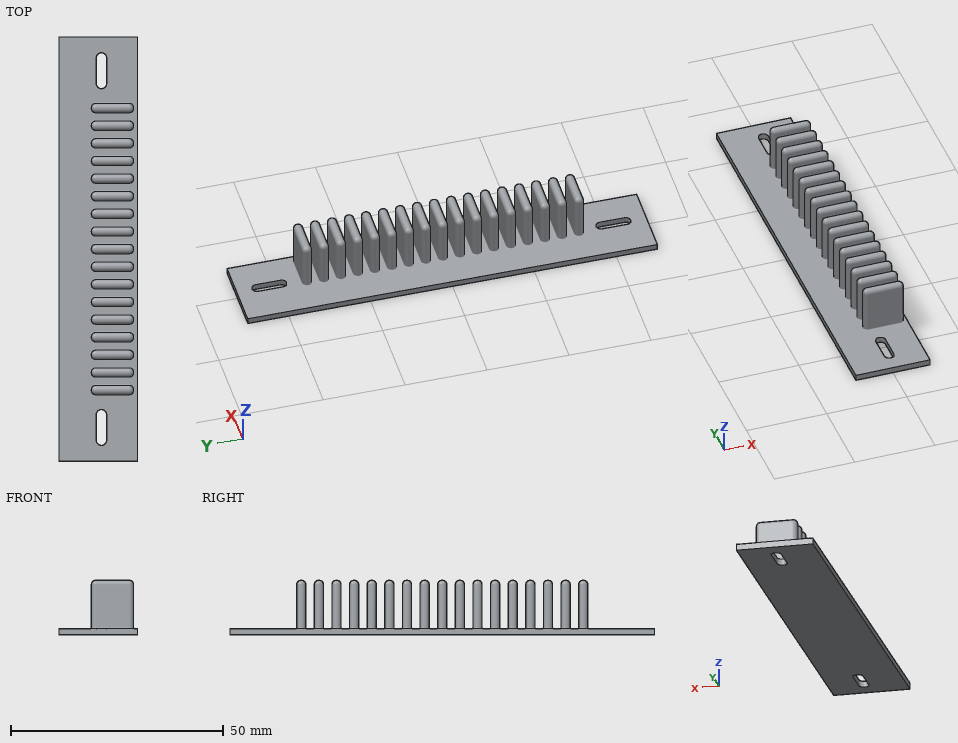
import cadquery as cq

plate_width = 18.5
plate_length = 100.0
plate_thickness = 1.5
total_height = 12.9

fin_count = 17
fin_row_span = 66.4
fin_length = 10.0
fin_thickness = 2.2
ridge_flat_width = 0.08
fin_edge_margin = 0.9
foot_radius = 0.2

slot_width = 2.4
slot_length = 8.4
slot_end_margin = 3.8
slot_x_from_edge = 10.0

fin_pitch = fin_row_span / (fin_count - 1)
fin_edge_radius = (fin_thickness - ridge_flat_width) / 2
fin_height = total_height - plate_thickness
fin_x = plate_width / 2 - fin_edge_margin - fin_length / 2
slot_x = slot_x_from_edge - plate_width / 2
slot_y = plate_length / 2 - slot_end_margin - slot_length / 2


def make_plate():
    """Flat plate with its two through slots."""
    plate = cq.Workplane("XY").box(
        plate_width, plate_length, plate_thickness, centered=(True, True, False)
    )
    slots = (
        cq.Workplane("XY")
        .pushPoints([(slot_x, -slot_y), (slot_x, slot_y)])
        .slot2D(slot_length, slot_width, angle=90)
        .extrude(plate_thickness)
    )
    return plate.cut(slots)


def make_fin():
    """Fin at Y = 0: upright bar with its vertical and top edges rounded."""
    return (
        cq.Workplane("XY", origin=(fin_x, 0, plate_thickness))
        .box(fin_length, fin_thickness, fin_height, centered=(True, True, False))
        .edges("|Z or >Z")
        .fillet(fin_edge_radius)
    )


def add_fins(plate):
    """Spread the fins evenly along Y and blend their feet into the plate."""
    fin = make_fin()
    body = plate
    for index in range(fin_count):
        body = body.union(fin.translate((0, index * fin_pitch - fin_row_span / 2, 0)))
    feet = cq.selectors.BoxSelector(
        (fin_x - fin_length / 2 - foot_radius, -fin_row_span / 2 - fin_thickness, plate_thickness - foot_radius),
        (fin_x + fin_length / 2 + foot_radius, fin_row_span / 2 + fin_thickness, plate_thickness + foot_radius),
    )
    return body.edges(feet).fillet(foot_radius)


result = add_fins(make_plate())